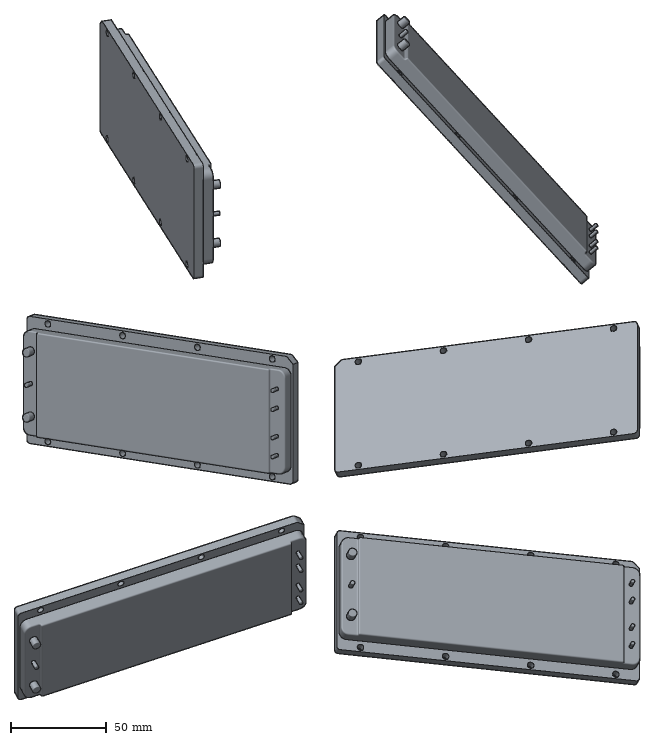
import cadquery as cq

plate_length = 162.5
plate_height = 68.6
plate_thickness = 5.0
plate_corner_radius = 2.0
key_chamfer = 3.7

hole_diameter = 3.4
hole_columns = 4
hole_pitch = 45.7
hole_row_spacing = 63.4

housing_length = 160.3
housing_height = 56.2
housing_corner_radius = 4.0
housing_edge_fillet = 0.8
ledge_top = 11.0
raised_length = 142.4
raised_top = 12.7
selection_margin = 0.2

pin_top = 15.8
pin_tip_fillet = 0.3
contact_diameter = 2.0
contact_x = -75.1
contact_heights = (-17.9, -7.6, 7.6, 17.9)
post_x = 75.3
post_diameter = 4.5
post_heights = (-17.5, 17.5)
centre_post_diameter = 2.3


def plane_at(y):
    """XZ sketch plane at depth y; extrusion runs toward +Y."""
    return cq.Workplane(cq.Plane(origin=(0, y, 0), xDir=(1, 0, 0), normal=(0, -1, 0)))


def slab(length, height, bottom, top):
    return plane_at(bottom).rect(length, height).extrude(bottom - top)


def make_plate():
    left = -plate_length / 2
    top = plate_height / 2
    plate = (
        plane_at(0)
        .moveTo(left, -top)
        .lineTo(-left, -top)
        .lineTo(-left, top)
        .lineTo(left + key_chamfer, top)
        .lineTo(left, top - key_chamfer)
        .close()
        .extrude(-plate_thickness)
    )
    plate = plate.edges("|Y").edges(">X or <Z or >Z").fillet(plate_corner_radius)
    holes = (
        plane_at(0)
        .rarray(hole_pitch, hole_row_spacing, hole_columns, 2)
        .circle(hole_diameter / 2)
        .extrude(-plate_thickness)
    )
    return plate.cut(holes)


def make_housing():
    housing = (
        slab(housing_length, housing_height, plate_thickness, ledge_top)
        .edges("|Y")
        .fillet(housing_corner_radius)
        .union(slab(raised_length, housing_height, plate_thickness, raised_top))
    )
    above_ledge = cq.selectors.BoxSelector(
        (-plate_length, ledge_top - selection_margin, -plate_height),
        (plate_length, raised_top + selection_margin, plate_height),
    )
    return housing.edges(above_ledge).fillet(housing_edge_fillet)


def make_pins(x, heights, diameter):
    pins = (
        plane_at(ledge_top)
        .pushPoints([(x, z) for z in heights])
        .circle(diameter / 2)
        .extrude(ledge_top - pin_top)
    )
    return pins.faces(">Y").edges().fillet(pin_tip_fillet)


result = (
    make_plate()
    .union(make_housing())
    .union(make_pins(contact_x, contact_heights, contact_diameter))
    .union(make_pins(post_x, post_heights, post_diameter))
    .union(make_pins(post_x, (0,), centre_post_diameter))
)